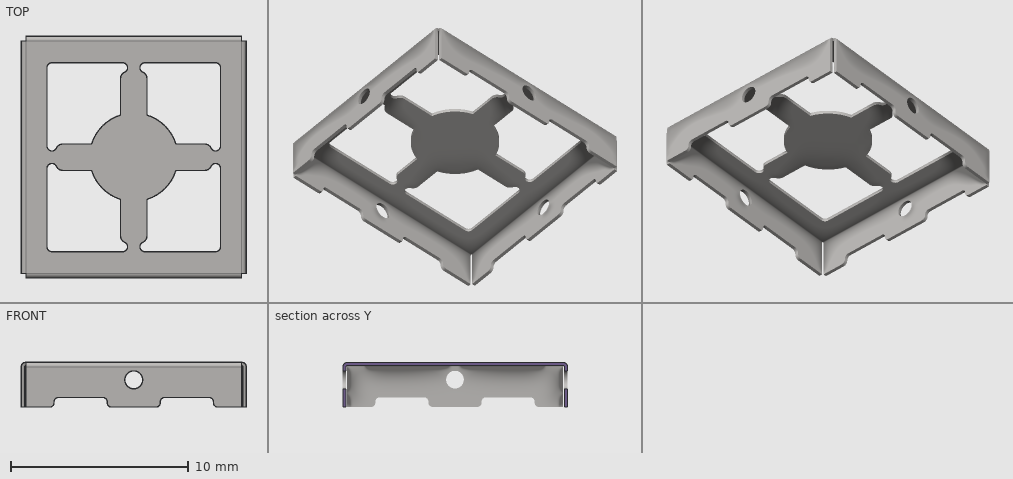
import cadquery as cq
import math

length_x = 12.7
length_y = 13.66
height = 2.54
sheet = 0.2
bend_outer_radius = 0.26
bend_inner_radius = bend_outer_radius - sheet

opening_half_x = 4.89
opening_half_y = 5.33
disc_radius = 2.5
bar_half_width = 0.75
neck_half_width = 0.35
corner_radius = 0.27
shoulder_radius = 0.4

hole_diameter = 1.0
hole_depth_below_top = 1.0
notch_inner = 1.5
notch_outer = 4.5
notch_height = 0.55
notch_radius = 0.25

flat_x = length_x - 2 * bend_outer_radius
flat_y = length_y - 2 * bend_outer_radius


def polar(center, radius, angle):
    return (center[0] + radius * math.cos(angle), center[1] + radius * math.sin(angle))


def bar_side(opening_half):
    """Points along one side of a bar, as (across, along), from the disc to the frame.

    The straight side runs into a rounded bar shoulder, then a round bulb that narrows the neck.
    """
    bulb = (neck_half_width + corner_radius, opening_half - corner_radius)
    shoulder_across = bar_half_width - shoulder_radius
    center_distance = corner_radius + shoulder_radius
    drop = math.sqrt(center_distance**2 - (bulb[0] - shoulder_across) ** 2)
    shoulder = (shoulder_across, bulb[1] - drop)
    tilt = math.atan2(drop, bulb[0] - shoulder_across)
    bulb_start = tilt + math.pi
    bulb_end = math.pi / 2
    return [
        (bar_half_width, math.sqrt(disc_radius**2 - bar_half_width**2)),
        (bar_half_width, shoulder[1]),
        polar(shoulder, shoulder_radius, tilt / 2),
        polar(shoulder, shoulder_radius, tilt),
        polar(bulb, corner_radius, (bulb_start + bulb_end) / 2),
        (bulb[0], opening_half),
    ]


def window():
    """Cutter for the opening in the +X +Y quarter of the panel."""
    y_bar = bar_side(opening_half_y)
    x_bar = [(along, across) for across, along in bar_side(opening_half_x)]
    corner_center = (opening_half_x - corner_radius, opening_half_y - corner_radius)
    outline = (
        cq.Workplane("XY", origin=(0, 0, height - sheet))
        .moveTo(*y_bar[0])
        .lineTo(*y_bar[1])
        .threePointArc(y_bar[2], y_bar[3])
        .threePointArc(y_bar[4], y_bar[5])
        .lineTo(corner_center[0], opening_half_y)
        .threePointArc(polar(corner_center, corner_radius, math.pi / 4), (opening_half_x, corner_center[1]))
        .lineTo(*x_bar[5])
        .threePointArc(x_bar[4], x_bar[3])
        .threePointArc(x_bar[2], x_bar[1])
        .lineTo(*x_bar[0])
        .threePointArc(polar((0, 0), disc_radius, math.pi / 4), y_bar[0])
        .close()
    )
    return outline.extrude(sheet)


def top_panel():
    panel = cq.Workplane("XY", origin=(0, 0, height - sheet)).rect(flat_x, flat_y).extrude(sheet)
    opening = window()
    opening_pair = opening.union(opening.mirror("YZ"))
    return panel.cut(opening_pair).cut(opening_pair.mirror("XZ"))


def notch(side):
    """Profile of one lower-edge notch: rounded at its top, flared at the edge; side is -1 or 1 along X."""
    r = notch_radius
    bow = r * (1 - math.sqrt(0.5))
    inner = side * notch_inner
    outer = side * notch_outer
    step = side * r
    bend = side * bow
    return (
        cq.Workplane("XZ")
        .moveTo(inner - step, 0)
        .threePointArc((inner - bend, bow), (inner, r))
        .lineTo(inner, notch_height - r)
        .threePointArc((inner + bend, notch_height - bow), (inner + step, notch_height))
        .lineTo(outer - step, notch_height)
        .threePointArc((outer - bend, notch_height - bow), (outer, notch_height - r))
        .lineTo(outer, r)
        .threePointArc((outer + bend, bow), (outer + step, 0))
        .close()
    )


def flange(reach, width):
    """Bend and wall on the -Y side; the outer face lies at Y = -reach."""
    bend_y = bend_outer_radius - reach
    bend_z = height - bend_outer_radius
    bend_middle = 0.75 * math.pi
    wall = (
        cq.Workplane("YZ", origin=(-width / 2, 0, 0))
        .moveTo(-reach, 0)
        .lineTo(-reach, bend_z)
        .threePointArc(polar((bend_y, bend_z), bend_outer_radius, bend_middle), (bend_y, height))
        .lineTo(bend_y, height - sheet)
        .threePointArc(polar((bend_y, bend_z), bend_inner_radius, bend_middle), (sheet - reach, bend_z))
        .lineTo(sheet - reach, 0)
        .close()
        .extrude(width)
    )
    hole = cq.Workplane("XZ").center(0, height - hole_depth_below_top).circle(hole_diameter / 2)
    wall = wall.cut(hole.extrude(reach))
    for side in (-1, 1):
        wall = wall.cut(notch(side).extrude(reach))
    return wall


result = top_panel()
for quarter_turns in range(4):
    if quarter_turns % 2 == 0:
        wall = flange(length_y / 2, flat_x)
    else:
        wall = flange(length_x / 2, flat_y)
    result = result.union(wall.rotate((0, 0, 0), (0, 0, 1), 90 * quarter_turns))